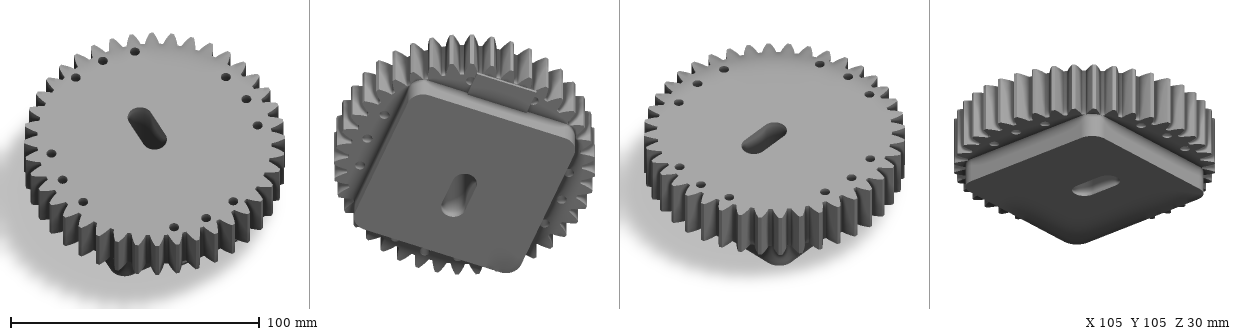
import cadquery as cq
import math

TEETH = 40
OUTER_RADIUS = 52.5
ROOT_RADIUS = 47.1
PITCH_RADIUS = OUTER_RADIUS * TEETH / (TEETH + 2)
PRESSURE_ANGLE = math.radians(25)
GEAR_HEIGHT = 20.0
FLANK_POINTS = 6

HOLE_DIAMETER = 4.0
HOLE_CIRCLE_RADIUS = 43.9
Y_GROUP_INSET = 2.0
HOLE_SPACING = 17.9
HOLES_PER_GROUP = 3

SLOT_WIDTH = 10.0
SLOT_TRAVEL = 12.3
SLOT_CENTER_X = -SLOT_TRAVEL / 2

BLOCK_SIDE = 71.6
BLOCK_HEIGHT = 10.0
BLOCK_CORNER_RADIUS = 6.5

PLATE_END_X = 46.7
PLATE_WIDTH = 25.5
PLATE_THICKNESS = 1.2

GEAR_BOTTOM = BLOCK_HEIGHT


def polar(radius, angle):
    return (radius * math.cos(angle), radius * math.sin(angle))


def involute(angle):
    return math.tan(angle) - angle


def half_tooth_angle(radius):
    """Angle from the tooth centre line to its involute flank at a radius."""
    base_radius = PITCH_RADIUS * math.cos(PRESSURE_ANGLE)
    flank_angle = math.acos(base_radius / radius)
    return math.pi / (2 * TEETH) + involute(PRESSURE_ANGLE) - involute(flank_angle)


def gear_outline():
    """Closed outline: per tooth two involute flanks, a tip arc and a root arc."""
    step = (OUTER_RADIUS - ROOT_RADIUS) / (FLANK_POINTS - 1)
    radii = [ROOT_RADIUS + i * step for i in range(FLANK_POINTS)]
    pitch_angle = 2 * math.pi / TEETH
    root_half_angle = half_tooth_angle(ROOT_RADIUS)

    first_point = polar(ROOT_RADIUS, -root_half_angle)
    outline = cq.Workplane("XY", origin=(0, 0, GEAR_BOTTOM)).moveTo(*first_point)
    for tooth in range(TEETH):
        center = tooth * pitch_angle
        rising = [polar(r, center - half_tooth_angle(r)) for r in radii]
        falling = [polar(r, center + half_tooth_angle(r)) for r in reversed(radii)]
        next_start = polar(ROOT_RADIUS, center + pitch_angle - root_half_angle)
        outline = (
            outline.spline(rising[1:], includeCurrent=True)
            .threePointArc(polar(OUTER_RADIUS, center), falling[0])
            .spline(falling[1:], includeCurrent=True)
            .threePointArc(polar(ROOT_RADIUS, center + pitch_angle / 2), next_start)
        )
    return outline.close()


def hole_centers():
    """Arc groups of three holes on the X axis, and inset groups on the Y axis."""
    centers = []
    for index in range(HOLES_PER_GROUP):
        angle = math.radians((index - (HOLES_PER_GROUP - 1) / 2) * HOLE_SPACING)
        outward, sideways = polar(HOLE_CIRCLE_RADIUS, angle)
        for side in (-1, 1):
            centers.append((side * outward, sideways))
            centers.append((sideways, side * (outward - Y_GROUP_INSET)))
    return centers


def make_slot(bottom, height):
    return (
        cq.Workplane("XY", origin=(SLOT_CENTER_X, 0, bottom))
        .slot2D(SLOT_TRAVEL + SLOT_WIDTH, SLOT_WIDTH)
        .extrude(height)
    )


def make_gear():
    holes = (
        cq.Workplane("XY", origin=(0, 0, GEAR_BOTTOM))
        .pushPoints(hole_centers())
        .circle(HOLE_DIAMETER / 2)
        .extrude(GEAR_HEIGHT)
    )
    blank = gear_outline().extrude(GEAR_HEIGHT)
    return blank.cut(holes).cut(make_slot(GEAR_BOTTOM, GEAR_HEIGHT))


def make_block():
    block = (
        cq.Workplane("XY")
        .rect(BLOCK_SIDE, BLOCK_SIDE)
        .extrude(BLOCK_HEIGHT)
        .edges("|Z")
        .fillet(BLOCK_CORNER_RADIUS)
    )
    return block.cut(make_slot(0, BLOCK_HEIGHT))


def make_plate():
    """Plate lying against the gear's underside and the block's +X side."""
    start_x = BLOCK_SIDE / 2
    length = PLATE_END_X - start_x
    return cq.Workplane("XY").box(length, PLATE_WIDTH, PLATE_THICKNESS).translate(
        (start_x + length / 2, 0, GEAR_BOTTOM - PLATE_THICKNESS / 2)
    )


gear = make_gear()
block = make_block()
plate = make_plate()

result = cq.Compound.makeCompound([gear.val(), block.val(), plate.val()])